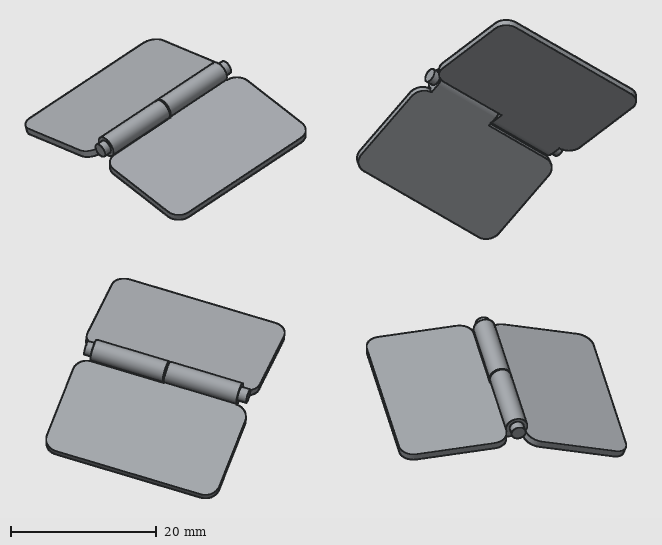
import cadquery as cq
import math

overall_width = 31.9
plate_length = 25.0
plate_thickness = 1.0
corner_radius = 2.0
knuckle_radius = 1.5
pin_radius = 1.0
fold_angle = 19.4
knuckle_gap = 0.2
rear_pin_overhang = 1.25
front_pin_overhang = 1.1

fold = math.radians(fold_angle)
top_edge_inset = (knuckle_radius - plate_thickness) * math.sin(fold)
leaf_reach = (overall_width + top_edge_inset) / (1 + math.cos(fold))
plate_width = leaf_reach - knuckle_radius
knuckle_length = plate_length / 2 - corner_radius
left_leaf_shift = -knuckle_gap
pin_meeting_y = -knuckle_gap / 2
plate_bottom = -knuckle_radius


def cylinder_along_y(radius, start_y, end_y):
    """Cylinder on the hinge axis between two Y positions."""
    return (
        cq.Workplane("XZ", origin=(0, start_y, 0))
        .circle(radius)
        .extrude(start_y - end_y)
    )


def make_leaf():
    """Flat leaf on +X: rounded plate, with a knuckle along its +Y half."""
    plate = (
        cq.Workplane("XY", origin=(knuckle_radius + plate_width / 2, 0, plate_bottom))
        .rect(plate_width, plate_length)
        .extrude(plate_thickness)
        .edges("|Z")
        .fillet(corner_radius)
    )
    web = cq.Workplane("XY", origin=(0, 0, plate_bottom)).box(
        knuckle_radius, knuckle_length, plate_thickness, centered=False
    )
    knuckle = cylinder_along_y(knuckle_radius, 0, knuckle_length)
    bore = cylinder_along_y(pin_radius, 0, knuckle_length)
    return plate.union(web).union(knuckle).cut(bore)


def make_pin(inner_y, outer_y):
    """Plain hinge pin filling one knuckle and standing out at its outer end."""
    return cylinder_along_y(pin_radius, inner_y, outer_y)


right_leaf = make_leaf()
left_leaf = (
    make_leaf()
    .rotate((0, 0, 0), (0, 0, 1), 180)
    .rotate((0, 0, 0), (0, 1, 0), -fold_angle)
    .translate((0, left_leaf_shift, 0))
)

rear_pin = make_pin(pin_meeting_y, knuckle_length + rear_pin_overhang)
front_pin = make_pin(pin_meeting_y, left_leaf_shift - knuckle_length - front_pin_overhang)

result = cq.Compound.makeCompound(
    [right_leaf.val(), left_leaf.val(), rear_pin.val(), front_pin.val()]
)